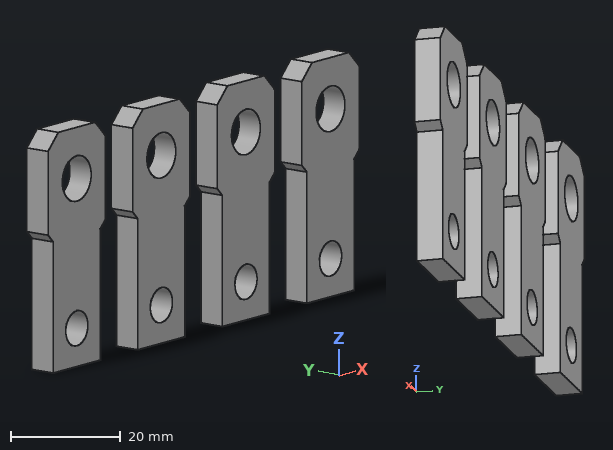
import cadquery as cq

link_count = 4
row_length = 92.0

head_width = 17.0
shank_width = 14.0
height = 44.7
thickness = 5.0
corner_chamfer = 3.0
shoulder_top = 26.0

upper_hole_diameter = 8.5
lower_hole_diameter = 6.5
upper_hole_drop = 9.6
lower_hole_rise = 7.2

pitch = (row_length - head_width) / (link_count - 1)
half_head = head_width / 2
half_shank = shank_width / 2
shoulder_step = half_head - half_shank


def link_blank():
    """Plate with a wide, chamfered head and a narrower shank, front face on Y = 0."""
    right_side = [
        (half_shank, 0),
        (half_shank, shoulder_top - shoulder_step),
        (half_head, shoulder_top),
        (half_head, height - corner_chamfer),
        (half_head - corner_chamfer, height),
    ]
    left_side = [(-x, z) for x, z in reversed(right_side)]
    return cq.Workplane("XZ").polyline(right_side + left_side).close().extrude(-thickness)


def cross_hole(diameter, z):
    """Cutter for a hole through the full thickness on the link's centre line."""
    return cq.Workplane("XZ").center(0, z).circle(diameter / 2).extrude(-thickness)


def make_link(x):
    """One link centred at the given X position."""
    link = link_blank()
    link = link.cut(cross_hole(upper_hole_diameter, height - upper_hole_drop))
    link = link.cut(cross_hole(lower_hole_diameter, lower_hole_rise))
    return link.translate((x, 0, 0))


links = [make_link(half_head + i * pitch) for i in range(link_count)]

result = cq.Compound.makeCompound([link.val() for link in links])